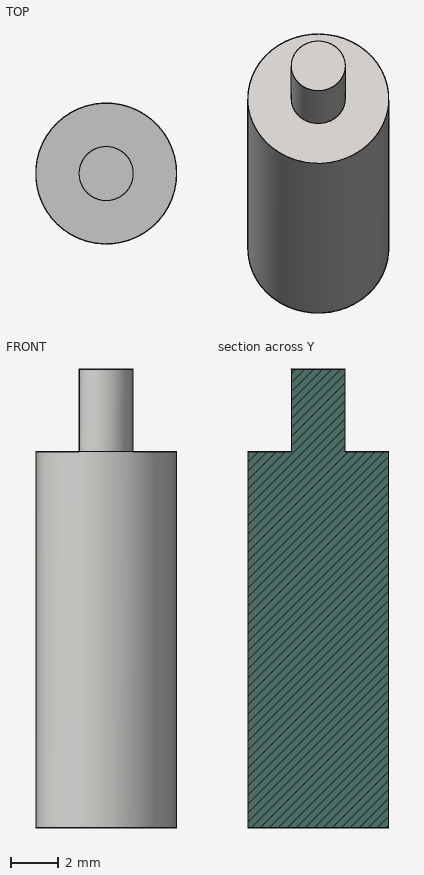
import cadquery as cq

body_diameter = 6.0
pin_diameter = 2.3
overall_length = 19.5
pin_length = 3.5
body_length = overall_length - pin_length


def make_body():
    """Plain cylinder standing on the XY plane."""
    return cq.Workplane("XY").circle(body_diameter / 2).extrude(body_length)


def add_pin(body):
    """Slim coaxial pin rising from the top face of the body."""
    return body.faces(">Z").workplane().circle(pin_diameter / 2).extrude(pin_length)


result = add_pin(make_body())